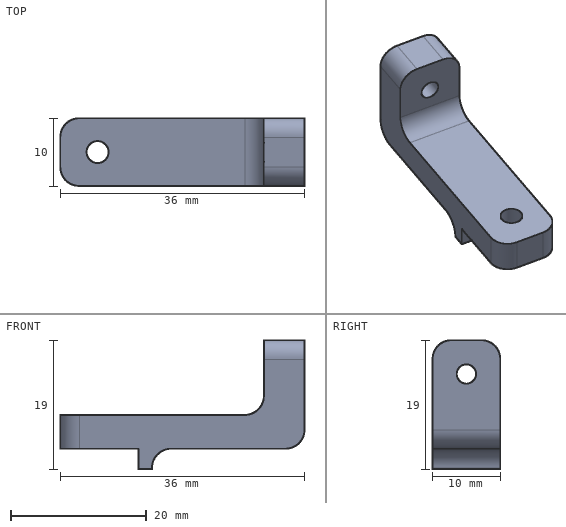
import cadquery as cq

length = 36.0
width = 10.0
base_thickness = 5.0
foot_drop = 3.0
total_height = 19.0
upright_thickness = 6.0
corner_radius = 2.8

foot_start = 11.52
foot_thickness = 2.0

base_hole_diameter = 3.2
base_hole_from_end = 5.5
upright_hole_diameter = 2.8
upright_hole_from_top = 5.0

top_z = total_height - foot_drop
upright_x = length - upright_thickness
foot_end = foot_start + foot_thickness


def side_solid(outline):
    """Extrude an XZ outline across the full width, centred on Y = 0."""
    return outline.close().extrude(width / 2, both=True)


def make_angle():
    """L-shaped body with its inner and outer bends and its end corners rounded."""
    outline = (
        cq.Workplane("XZ")
        .polyline([
            (0, 0),
            (length, 0),
            (length, top_z),
            (upright_x, top_z),
            (upright_x, base_thickness),
            (0, base_thickness),
        ])
    )
    body = side_solid(outline)
    body = body.edges("|Y and >X and <Z").fillet(corner_radius)
    inner_bend = cq.NearestToPointSelector((upright_x, 0, base_thickness))
    body = body.edges("|Y").edges(inner_bend).fillet(corner_radius)
    body = body.edges("|Z and <X").fillet(corner_radius)
    return body.faces(">Z").edges("|X").fillet(corner_radius)


def make_foot():
    """Full-width foot with a concave round blending it into the underside."""
    outline = (
        cq.Workplane("XZ")
        .moveTo(foot_start, 0)
        .lineTo(foot_start, -foot_drop)
        .lineTo(foot_end, -foot_drop)
        .lineTo(foot_end, -corner_radius)
        .radiusArc((foot_end + corner_radius, 0), corner_radius)
        .lineTo(foot_end + corner_radius, base_thickness / 2)
        .lineTo(foot_start, base_thickness / 2)
    )
    return side_solid(outline)


base_hole = (
    cq.Workplane("XY")
    .center(base_hole_from_end, 0)
    .circle(base_hole_diameter / 2)
    .extrude(base_thickness)
)
upright_hole = (
    cq.Workplane("YZ", origin=(upright_x, 0, top_z - upright_hole_from_top))
    .circle(upright_hole_diameter / 2)
    .extrude(upright_thickness)
)

result = make_angle().union(make_foot()).cut(base_hole).cut(upright_hole)